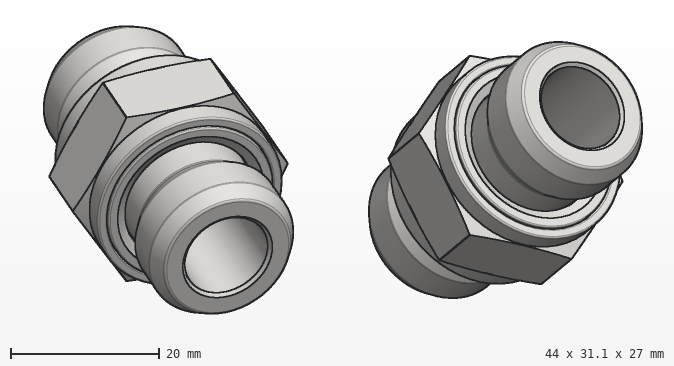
import cadquery as cq
import math

length = 44.0
mid_x = length / 2

across_flats = 27.0
across_corners = across_flats / math.cos(math.radians(30))
hex_corner_dia = 31.15
hex_start = 17.05
hex_chamfer_angle = 15.0

flange_dia = 26.8
flange_start = 14.0
flange_fillet = 0.25

thread_dia = 20.95
neck_dia = 18.3
thread_start = 2.38
thread_end = 7.55
thread_cone_angle = 30.0
end_fillet = 0.45
crest_fillet = 0.25
neck_fillet = 1.0

bore_dia = 12.0
bore_chamfer = 0.5

groove_dia = 24.02
groove_floor = 15.4
groove_mouth_fillet = 0.2
seal_outer_dia = 23.9
seal_inner_dia = 18.5
seal_mouth_dia = 21.2
seal_mouth_depth = 0.8
seal_start = 13.7
seal_fillet = 0.2

mirror_plane_point = (mid_x, 0, 0)


def revolve_about_x(profile):
    """Revolve a closed profile in the XY plane, where Y is the radius."""
    return profile.revolve(360, (0, 0, 0), (1, 0, 0))


def ring_edges(body, x, dia):
    """Circular edges of a body at one X position and diameter."""
    tolerance = 0.005
    inner = dia / 2 - tolerance
    outer = dia / 2 + tolerance
    edges = []
    for edge in body.edges("%CIRCLE").vals():
        on_plane = abs(edge.Center().x - x) < tolerance
        if on_plane and inner < edge.radius() < outer:
            edges.append(edge)
    return body.newObject(edges)


def make_half_turning():
    """Turned end, neck, seal groove and flange, up to the middle plane."""
    slope = math.tan(math.radians(thread_cone_angle))
    thread_radius = thread_dia / 2
    neck_radius = neck_dia / 2
    end_radius = thread_radius - thread_start * slope
    neck_start = thread_end + (thread_radius - neck_radius) / slope

    half = revolve_about_x(
        cq.Workplane("XY")
        .moveTo(0, 0)
        .lineTo(0, end_radius)
        .lineTo(thread_start, thread_radius)
        .lineTo(thread_end, thread_radius)
        .lineTo(neck_start, neck_radius)
        .lineTo(groove_floor, neck_radius)
        .lineTo(groove_floor, groove_dia / 2)
        .lineTo(flange_start, groove_dia / 2)
        .lineTo(flange_start, flange_dia / 2)
        .lineTo(mid_x, flange_dia / 2)
        .lineTo(mid_x, 0)
        .close()
    )
    rounded_edges = [
        (0, 2 * end_radius, end_fillet),
        (thread_start, thread_dia, crest_fillet),
        (thread_end, thread_dia, crest_fillet),
        (neck_start, neck_dia, neck_fillet),
        (flange_start, groove_dia, groove_mouth_fillet),
        (flange_start, flange_dia, flange_fillet),
    ]
    for x, dia, radius in rounded_edges:
        half = ring_edges(half, x, dia).fillet(radius)
    return half


def make_hexagon():
    """Central hexagon with both ends chamfered by a shallow cone and its corners turned."""
    hex_end = length - hex_start
    prism = (
        cq.Workplane("YZ", origin=(hex_start, 0, 0))
        .polygon(6, across_corners)
        .extrude(hex_end - hex_start)
    )
    flange_radius = flange_dia / 2
    corner_radius = hex_corner_dia / 2
    chamfer_length = (corner_radius - flange_radius) * math.tan(math.radians(hex_chamfer_angle))
    chamfer_envelope = revolve_about_x(
        cq.Workplane("XY")
        .moveTo(hex_start, 0)
        .lineTo(hex_start, flange_radius)
        .lineTo(hex_start + chamfer_length, corner_radius)
        .lineTo(hex_end - chamfer_length, corner_radius)
        .lineTo(hex_end, flange_radius)
        .lineTo(hex_end, 0)
        .close()
    )
    return prism.intersect(chamfer_envelope)


def make_bore():
    """Through bore, widened by a chamfer at both ends."""
    bore_radius = bore_dia / 2
    return revolve_about_x(
        cq.Workplane("XY")
        .moveTo(0, 0)
        .lineTo(0, bore_radius + bore_chamfer)
        .lineTo(bore_chamfer, bore_radius)
        .lineTo(length - bore_chamfer, bore_radius)
        .lineTo(length, bore_radius + bore_chamfer)
        .lineTo(length, 0)
        .close()
    )


def make_fitting():
    """Double-ended fitting without its seals."""
    half = make_half_turning()
    other_half = half.mirror("YZ", mirror_plane_point)
    return half.union(other_half).union(make_hexagon()).cut(make_bore())


def make_seal():
    """Seal ring with a countersunk mouth, resting on the groove floor and standing proud of the flange."""
    inner_radius = seal_inner_dia / 2
    outer_radius = seal_outer_dia / 2
    ring = revolve_about_x(
        cq.Workplane("XY")
        .moveTo(seal_start, seal_mouth_dia / 2)
        .lineTo(seal_start, outer_radius)
        .lineTo(groove_floor, outer_radius)
        .lineTo(groove_floor, inner_radius)
        .lineTo(seal_start + seal_mouth_depth, inner_radius)
        .close()
    )
    return ring_edges(ring, seal_start, seal_outer_dia).fillet(seal_fillet)


fitting = make_fitting()

seals = []
for mirrored in (False, True):
    seal = make_seal()
    if mirrored:
        seal = seal.mirror("YZ", mirror_plane_point)
    seals.append(seal.val())

result = cq.Compound.makeCompound([fitting.val(), *seals])